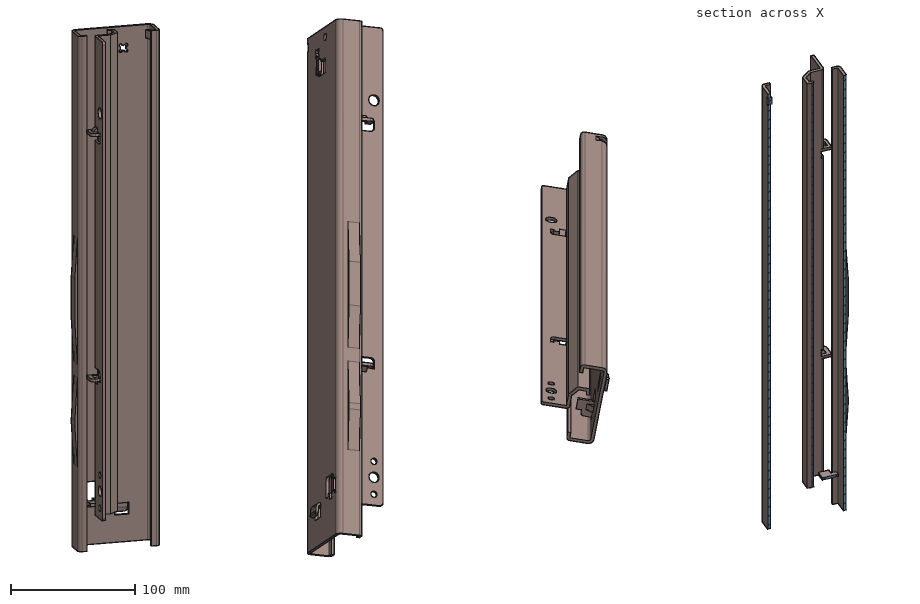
import cadquery as cq
import math

SHEET = 2.5
LENGTH = 430.0

CHANNEL_DEPTH = 22.0
CHANNEL_HEIGHT = 69.0
LIP_DEPTH = 7.5
PLATE_BEND_RADIUS = 4.7
LIP_BEND_RADIUS = 3.0

PAD_HEIGHT = 2.0
PAD_X_START = 9.0
PAD_X_END = CHANNEL_DEPTH - LIP_BEND_RADIUS
PADS = [(70.5, 104.0, 109.2, 144.5), (156.0, 191.0, 227.5, 261.0)]

HOOK_REACH = 4.7
HOOK_STAND = 4.0
HOOK_SHEET = 2.0
HOOK_WIDTH = 12.0
HOOK_FLARE_START = 7.0
HOOK_FLARE_TIP = 9.5
HOOK_END = 10.8
HOOK_TIP_CHAMFER = 1.7
HOOK_WINDOW_LENGTH = 12.0
UPPER_HOOK_ROOT_Y = 39.0
UPPER_HOOK_Z = 397.8
LOWER_HOOK_ROOT_Z = 35.0
LOWER_HOOK_Y = 42.5

ROUND_HOLE_Y = 27.0
ROUND_HOLE_Z = 421.5
ROUND_HOLE_DIAMETER = 5.5
SQUARE_HOLE_Y = 44.0
SQUARE_HOLE_Z = 412.0
SQUARE_HOLE_SIDE = 4.7
SQUARE_HOLE_RELIEF = 2.5
DIMPLE_WIDTH = 6.5
DIMPLE_HEIGHT = 6.0
DIMPLE_DEPTH = 1.5
DIMPLE_Y = 44.0
DIMPLE_Z = 398.0

TAB_BOTTOM_Z = 35.3
WINDOW_TOP_Z = 52.5
WINDOW_Y_START = 9.5
WINDOW_Y_END = 25.0
WINDOW_RADIUS = 2.5
SLOT_Y_START = PLATE_BEND_RADIUS
SLOT_TOP_Z = 47.7
TAB_REACH = 16.0
TAB_Y_START = 12.0
TAB_Y_END = 21.0
TAB_EAR_REACH = 11.5
TAB_EAR_Y = 7.0
TAB_EAR_RADIUS = 2.5

DENT_WIDTH = 5.0
TAB_DENT_LEGS = (5.5, 4.0)
RAIL_DENT_LEGS = (4.0, 3.5)
CORNER_DENT_WIDTH = 7.0
CORNER_DENT_LEGS = (8.0, 4.0)
CORNER_DENT_Z = 422.3
TAB_DENT_Y = 15.5

RAIL_BOTTOM = 30.5
RAIL_X_END = 44.7
RAIL_FLANGE_TOP = 16.0
RAIL_WEB_X = 24.5
RAIL_SHOULDER_Y = 26.2
RAIL_TOP_Y = 34.0
RAIL_TOP_X = 18.5
RAIL_LIP_X = 8.5
RAIL_LIP_END = (7.7, 28.5)
RAIL_CORNER_RADIUS = 2.0
RAIL_HOLE_X = 37.0
RAIL_HOLES = [(39.5, 5.0), (53.8, 8.5), (67.0, 5.0), (369.0, 9.0)]

RAIL_WINDOW_HEIGHT = 9.0
RAIL_WINDOW_X_END = 37.5
RAIL_WINDOW_RADIUS = 3.5
RAIL_TAB_RADIUS = 3.5
RAIL_TAB_X_END = 35.0
RAIL_TAB_Y = 7.0
RAIL_DENT_X = 27.5
UPPER_TAB_ROOT_Z = 351.7
LOWER_TAB_ROOT_Z = 144.5


def block(x_range, y_range, z_range):
    """Box given by its start and end along each axis."""
    sizes = [end - start for start, end in (x_range, y_range, z_range)]
    return cq.Workplane("XY").box(*sizes, centered=False).translate(
        (x_range[0], y_range[0], z_range[0])
    )


def prism(points, direction):
    """Solid swept from a closed polygon of 3D points along a vector."""
    wire = cq.Wire.makePolygon([cq.Vector(*p) for p in points], close=True)
    return cq.Workplane(cq.Solid.extrudeLinear(wire, [], cq.Vector(*direction)))


def corner_wedge(corner, leg_a, leg_b, width):
    """Triangular wedge with its right angle at a corner, centred on it along the width vector."""
    start = corner - cq.Vector(*width) * 0.5
    points = [start, start + leg_a, start + leg_b]
    return prism([p.toTuple() for p in points], width)


def press_dent(body, outer_corner, dir_a, dir_b, width, legs):
    """Press a dent into a bend: fill its inner corner and notch its outer corner."""
    a = cq.Vector(*dir_a)
    b = cq.Vector(*dir_b)
    inner_corner = cq.Vector(*outer_corner) + (a + b) * SHEET
    leg_a, leg_b = legs
    notch_growth = (2 - math.sqrt(2)) * SHEET
    notch_a = a * (leg_a + notch_growth)
    notch_b = b * (leg_b + notch_growth)
    fill = corner_wedge(inner_corner, a * leg_a, b * leg_b, width)
    notch = corner_wedge(cq.Vector(*outer_corner), notch_a, notch_b, width)
    return body.union(fill).cut(notch)




def channel_section():
    """C section with rounded bends, open between its two lips."""
    def rounded(inset):
        solid = block(
            (inset, CHANNEL_DEPTH - inset), (inset, CHANNEL_HEIGHT - inset), (0, LENGTH)
        )
        solid = solid.edges("|Z and <X").fillet(PLATE_BEND_RADIUS - inset)
        return solid.edges("|Z and >X").fillet(LIP_BEND_RADIUS - inset)

    opening = block(
        (CHANNEL_DEPTH / 2, CHANNEL_DEPTH), (LIP_DEPTH, CHANNEL_HEIGHT - LIP_DEPTH), (0, LENGTH)
    )
    return rounded(0).cut(rounded(SHEET)).cut(opening)


def pad(bottom, flat_start, flat_end, top):
    """Flat-topped ramp standing out of the lower flange."""
    points = [
        (PAD_X_START, 0, bottom),
        (PAD_X_START, -PAD_HEIGHT, flat_start),
        (PAD_X_START, -PAD_HEIGHT, flat_end),
        (PAD_X_START, 0, top),
    ]
    return prism(points, (PAD_X_END - PAD_X_START, 0, 0))


def hook():
    """Hook that leaves the plate at the origin, runs along -Y and flares out at its end."""
    inner_radius = HOOK_STAND - HOOK_SHEET
    half = math.sqrt(0.5)
    flare_shift = HOOK_REACH - HOOK_STAND
    strip = (
        cq.Workplane("XY", origin=(0, 0, -HOOK_WIDTH / 2))
        .moveTo(0, 0)
        .threePointArc(
            (-HOOK_STAND * half, -HOOK_STAND * (1 - half)), (-HOOK_STAND, -HOOK_STAND)
        )
        .lineTo(-HOOK_STAND, -HOOK_FLARE_START)
        .lineTo(-HOOK_REACH, -HOOK_FLARE_TIP)
        .lineTo(-inner_radius - flare_shift, -HOOK_END)
        .lineTo(-inner_radius, -HOOK_FLARE_START)
        .lineTo(-inner_radius, -HOOK_STAND)
        .threePointArc(
            (-inner_radius * half, -HOOK_STAND + inner_radius * half), (0, -HOOK_SHEET)
        )
        .lineTo(SHEET, -HOOK_SHEET)
        .lineTo(SHEET, 0)
        .close()
        .extrude(HOOK_WIDTH)
    )
    return strip.intersect(hook_blank())


def hook_blank():
    """Face-on shape of the hook, with both corners of its free end chamfered."""
    half_width = HOOK_WIDTH / 2
    blank = block((-HOOK_REACH, SHEET), (-HOOK_END, 0), (-half_width, half_width))
    return blank.faces("<Y").edges("|X").chamfer(HOOK_TIP_CHAMFER)


def hook_window():
    """Opening in the plate that the hook is lanced from."""
    return block((0, SHEET), (-HOOK_WINDOW_LENGTH, 0), (-HOOK_WIDTH / 2, HOOK_WIDTH / 2))


def place_upper(solid):
    return solid.translate((0, UPPER_HOOK_ROOT_Y, UPPER_HOOK_Z))


def place_lower(solid):
    """Turn the hook so that it runs down from its root."""
    turned = solid.rotate((0, 0, 0), (1, 0, 0), 90)
    return turned.translate((0, LOWER_HOOK_Y, LOWER_HOOK_ROOT_Z))


def round_hole():
    center = (0, ROUND_HOLE_Y, ROUND_HOLE_Z)
    return cq.Workplane("YZ", origin=center).circle(ROUND_HOLE_DIAMETER / 2).extrude(SHEET)


def square_hole():
    """Square hole with a round relief in each corner."""
    plane = cq.Workplane("YZ", origin=(0, SQUARE_HOLE_Y, SQUARE_HOLE_Z))
    square = plane.rect(SQUARE_HOLE_SIDE, SQUARE_HOLE_SIDE).extrude(SHEET)
    corners = plane.rect(SQUARE_HOLE_SIDE, SQUARE_HOLE_SIDE, forConstruction=True).vertices()
    return square.union(corners.circle(SQUARE_HOLE_RELIEF / 2).extrude(SHEET))


def dimple():
    """Shallow rectangular recess in the outer face of the plate."""
    return block(
        (0, DIMPLE_DEPTH),
        (DIMPLE_Y - DIMPLE_WIDTH / 2, DIMPLE_Y + DIMPLE_WIDTH / 2),
        (DIMPLE_Z - DIMPLE_HEIGHT / 2, DIMPLE_Z + DIMPLE_HEIGHT / 2),
    )


def plate_window():
    """Opening above the inward tab, with a lower slot beside it."""
    main = block((0, SHEET), (WINDOW_Y_START, WINDOW_Y_END), (TAB_BOTTOM_Z, WINDOW_TOP_Z))
    main = main.edges("|X and >Z").fillet(WINDOW_RADIUS)
    slot = block((0, SHEET), (SLOT_Y_START, WINDOW_Y_START), (TAB_BOTTOM_Z, SLOT_TOP_Z))
    return main.union(slot)


def plate_tab():
    """Tab bent inward from the bottom edge of the plate window, with an ear towards -Y."""
    z_range = (TAB_BOTTOM_Z, TAB_BOTTOM_Z + SHEET)
    main = block((0, TAB_REACH), (TAB_Y_START, TAB_Y_END), z_range)
    ear = block((0, TAB_EAR_REACH), (TAB_EAR_Y, TAB_Y_START), z_range)
    return main.union(ear.edges("|Z and >X and <Y").fillet(TAB_EAR_RADIUS))


def make_channel():
    body = channel_section()
    for pad_levels in PADS:
        body = body.union(pad(*pad_levels))
    for place in (place_upper, place_lower):
        body = body.cut(place(hook_window())).union(place(hook()))
    body = body.cut(round_hole()).cut(square_hole()).cut(dimple())
    body = body.cut(plate_window()).union(plate_tab())
    tab_corner = (0, TAB_DENT_Y, TAB_BOTTOM_Z + SHEET)
    body = press_dent(body, tab_corner, (1, 0, 0), (0, 0, -1), (0, DENT_WIDTH, 0), TAB_DENT_LEGS)
    top_corner = (0, CHANNEL_HEIGHT, CORNER_DENT_Z)
    corner_width = (0, 0, CORNER_DENT_WIDTH)
    return press_dent(body, top_corner, (1, 0, 0), (0, -1, 0), corner_width, CORNER_DENT_LEGS)




def strip_outline(path):
    """Closed outline of a strip of sheet lying to the left of a path of straight runs."""
    normals = []
    for (x0, y0), (x1, y1) in zip(path, path[1:]):
        run = math.hypot(x1 - x0, y1 - y0)
        normals.append(((y0 - y1) / run, (x1 - x0) / run))
    offset = []
    for i, (x, y) in enumerate(path):
        ax, ay = normals[max(i - 1, 0)]
        bx, by = normals[min(i, len(normals) - 1)]
        mitre = SHEET / (1 + ax * bx + ay * by)
        offset.append((x + (ax + bx) * mitre, y + (ay + by) * mitre))
    return path + offset[::-1]


def rail_section():
    path = [
        (RAIL_X_END, RAIL_FLANGE_TOP),
        (RAIL_WEB_X, RAIL_FLANGE_TOP),
        (RAIL_WEB_X, RAIL_SHOULDER_Y),
        (RAIL_TOP_X, RAIL_TOP_Y),
        (RAIL_LIP_X, RAIL_TOP_Y),
        RAIL_LIP_END,
    ]
    section = cq.Workplane("XY", origin=(0, 0, RAIL_BOTTOM)).polyline(strip_outline(path)).close()
    body = section.extrude(LENGTH - RAIL_BOTTOM)
    outer_bend = cq.selectors.NearestToPointSelector(
        (RAIL_WEB_X - SHEET, RAIL_FLANGE_TOP - SHEET, (LENGTH + RAIL_BOTTOM) / 2)
    )
    body = body.edges(outer_bend).fillet(SHEET)
    return body.faces(">X").edges("|Y").fillet(RAIL_CORNER_RADIUS)


def rail_hole(z, diameter):
    hole = cq.Workplane("XZ", origin=(RAIL_HOLE_X, RAIL_FLANGE_TOP, z)).circle(diameter / 2)
    return hole.extrude(SHEET)


def add_rail_tab(body, root_z, away):
    """Cut a window whose tab is bent at root_z; away is +1 if the window lies below the root."""
    window_end = root_z - away * RAIL_WINDOW_HEIGHT
    tab_end = root_z - away * SHEET
    web_x = RAIL_WEB_X - SHEET
    flange = (RAIL_FLANGE_TOP - SHEET, RAIL_FLANGE_TOP)
    window = block((web_x, RAIL_WINDOW_X_END), flange, sorted((window_end, root_z)))
    far_corner = cq.selectors.NearestToPointSelector(
        (RAIL_WINDOW_X_END, RAIL_FLANGE_TOP - SHEET / 2, window_end)
    )
    window = window.edges(far_corner).fillet(RAIL_WINDOW_RADIUS)
    tab = block(
        (web_x, RAIL_TAB_X_END), (RAIL_TAB_Y, RAIL_FLANGE_TOP), sorted((tab_end, root_z))
    )
    tab = tab.edges("|Z and >X and <Y").fillet(RAIL_TAB_RADIUS)
    body = body.cut(window).union(tab)
    corner = (RAIL_DENT_X, RAIL_FLANGE_TOP, tab_end)
    return press_dent(body, corner, (0, -1, 0), (0, 0, away), (DENT_WIDTH, 0, 0), RAIL_DENT_LEGS)


def make_rail():
    body = rail_section()
    for hole in RAIL_HOLES:
        body = body.cut(rail_hole(*hole))
    body = add_rail_tab(body, UPPER_TAB_ROOT_Z, 1)
    return add_rail_tab(body, LOWER_TAB_ROOT_Z, -1)


channel = make_channel()
rail = make_rail()
result = cq.Compound.makeCompound([channel.val(), rail.val()])